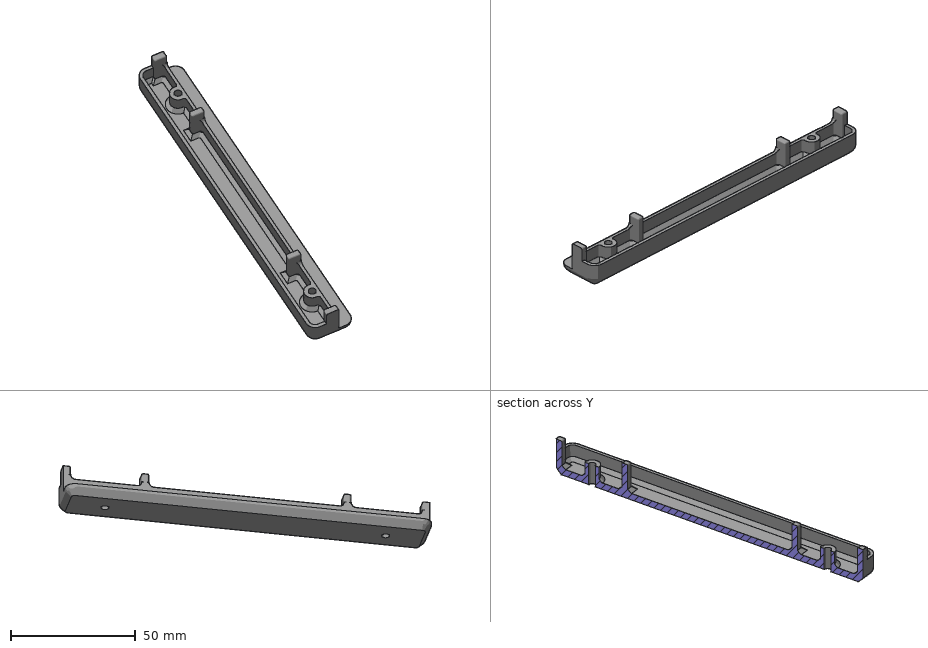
import cadquery as cq

LENGTH = 150.0
DEPTH = 20.0
HEIGHT = 16.0

CORNER_RADIUS = 4.0
BOTTOM_CHAMFER = 2.5
BOTTOM_BLEND_RADIUS = 2.5
PLATE_THICKNESS = 4.0
TRAY_HEIGHT = 10.0
LEDGE_DEPTH = 7.2
WALL = 1.5
BACK_WALL = 1.4
FLOOR_THICKNESS = 3.0
FLOOR_CHAMFER = 1.6
INNER_BLEND_RADIUS = 1.0

POST_WIDTH = 3.0
POST_DEPTH = 5.5
POST_ROUND = 0.8
POST_FLARE_RADIUS = 2.0
INNER_POST_X = 41.4

BOSS_RADIUS = 3.5
HOLE_DIAMETER = 3.2
BOSS_SETBACK = 2.8

FRONT_Y = -DEPTH / 2
TRAY_BACK_Y = DEPTH / 2 - LEDGE_DEPTH
WALL_INNER_Y = TRAY_BACK_Y - BACK_WALL
POST_FRONT_Y = TRAY_BACK_Y - POST_DEPTH
END_POST_X = (LENGTH - POST_WIDTH) / 2
POST_PLACES = (-END_POST_X, -INNER_POST_X, INNER_POST_X, END_POST_X)
BOSS_X = (INNER_POST_X + END_POST_X) / 2
BOSS_PLACES = [(side * BOSS_X, TRAY_BACK_Y - BOSS_SETBACK) for side in (-1, 1)]
POST_FOOT_TOP = FLOOR_THICKNESS + FLOOR_CHAMFER
FLARE_TOP = TRAY_HEIGHT + POST_FLARE_RADIUS
TOLERANCE = 0.02


def block(x_min, x_max, y_min, y_max, z_min, z_max):
    """Axis-aligned block between the given limits."""
    size = (x_max - x_min, y_max - y_min, z_max - z_min)
    return cq.Workplane("XY").box(*size, centered=False).translate((x_min, y_min, z_min))


def slab(z_min, z_max):
    """Selector of everything centred between two heights."""
    return cq.selectors.BoxSelector((-LENGTH, -DEPTH, z_min), (LENGTH, DEPTH, z_max))


def make_base():
    """Plate with rounded corners and a blended bottom chamfer, carrying the solid tray block."""
    body = block(-LENGTH / 2, LENGTH / 2, FRONT_Y, DEPTH / 2, 0, TRAY_HEIGHT)
    body = body.edges("|Z").fillet(CORNER_RADIUS)
    body = body.faces("<Z").edges().chamfer(BOTTOM_CHAMFER)
    chamfer_rim = slab(BOTTOM_CHAMFER - TOLERANCE, BOTTOM_CHAMFER + TOLERANCE)
    body = body.edges(chamfer_rim).fillet(BOTTOM_BLEND_RADIUS)
    above_ledge = block(-LENGTH, LENGTH, TRAY_BACK_Y, DEPTH, PLATE_THICKNESS, HEIGHT)
    return body.cut(above_ledge)


def square_post(x, z_min, z_max):
    """Plain length of a post between two heights."""
    half = POST_WIDTH / 2
    return block(x - half, x + half, POST_FRONT_Y, TRAY_BACK_Y, z_min, z_max)


def make_post(x):
    """Post with rounded edges above its square foot; the back edges are rounded above the flare only.

    An end post keeps square edges on the side that is flush with the end of the tray.
    """
    lower = square_post(x, POST_FOOT_TOP, FLARE_TOP)
    upper = square_post(x, FLARE_TOP, HEIGHT)
    free_sides = "|Z"
    top_edges = ">Z"
    if x == -END_POST_X:
        free_sides = "|Z and >X"
        top_edges = ">Z and (not <X)"
    if x == END_POST_X:
        free_sides = "|Z and <X"
        top_edges = ">Z and (not >X)"
    lower = lower.edges(f"({free_sides}) and <Y").fillet(POST_ROUND)
    upper = upper.edges(f"({free_sides}) or ({top_edges})").fillet(POST_ROUND)
    return lower.union(upper)


def make_flare(x):
    """Concave fillets from both sides of a post down to the top of the back wall."""
    reach = POST_WIDTH / 2 + POST_FLARE_RADIUS
    depth = BACK_WALL + INNER_BLEND_RADIUS
    flare = block(x - reach, x + reach, TRAY_BACK_Y - depth, TRAY_BACK_Y, TRAY_HEIGHT, FLARE_TOP)
    for side in (-1, 1):
        hollow = (
            cq.Workplane("XZ", origin=(x + side * reach, TRAY_BACK_Y, FLARE_TOP))
            .circle(POST_FLARE_RADIUS)
            .extrude(depth)
        )
        flare = flare.cut(hollow)
    within_length = block(-LENGTH / 2, LENGTH / 2, FRONT_Y, TRAY_BACK_Y, TRAY_HEIGHT, HEIGHT)
    return flare.intersect(within_length)


def make_cavity():
    """Tray cavity with a chamfered floor, leaving the bosses and the posts standing."""
    side = LENGTH / 2 - WALL
    cavity = block(-side, side, FRONT_Y + WALL, WALL_INNER_Y, FLOOR_THICKNESS, HEIGHT)
    cavity = cavity.edges("|Z and <Y").fillet(CORNER_RADIUS - WALL)
    for x in POST_PLACES:
        cavity = cavity.cut(square_post(x, FLOOR_THICKNESS, HEIGHT))
    bosses = cq.Workplane("XY").pushPoints(BOSS_PLACES).circle(BOSS_RADIUS).extrude(HEIGHT)
    cavity = cavity.cut(bosses)
    cavity = cavity.faces("<Z").edges().chamfer(FLOOR_CHAMFER)
    corners = [edge for edge in cavity.edges().vals() if is_back_corner(edge)]
    return cavity.newObject(corners).fillet(INNER_BLEND_RADIUS)


def is_back_corner(edge):
    """True for a straight rising edge that touches the inner face of the back wall."""
    reaches_wall = max(vertex.Y for vertex in edge.Vertices()) > WALL_INNER_Y - TOLERANCE
    return reaches_wall and edge.geomType() == "LINE" and abs(edge.tangentAt(0.5).z) > TOLERANCE


def make_screw_holes():
    """Through holes of the bosses."""
    return cq.Workplane("XY").pushPoints(BOSS_PLACES).circle(HOLE_DIAMETER / 2).extrude(HEIGHT)


result = make_base()
for post_x in POST_PLACES:
    result = result.union(make_flare(post_x))
result = result.cut(make_cavity())
for post_x in POST_PLACES:
    result = result.cut(square_post(post_x, POST_FOOT_TOP, HEIGHT))
    result = result.union(make_post(post_x))
result = result.cut(make_screw_holes()).solids()